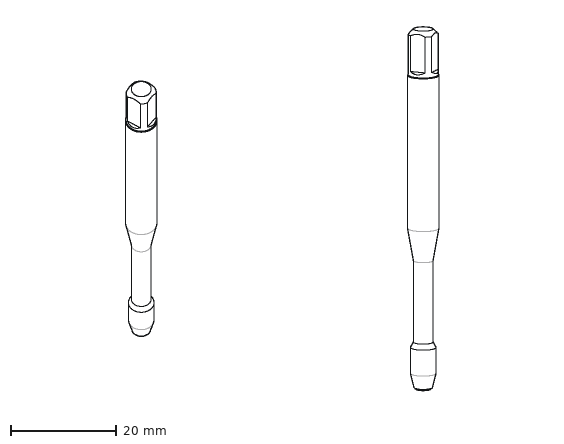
import cadquery as cq

total_length = 70.1
shank_diameter = 6.0
neck_diameter = 3.8

head_diameter = 4.9
head_tip_diameter = 3.6
head_end_diameter = 2.8
head_end_chamfer = 0.35
head_lead_top = 3.1
head_length = 9.2
head_back_length = 1.05

taper_bottom = 25.0
taper_top = 31.3
shank_top = 61.2

square_width = 4.9
square_round_diameter = 5.75
square_length = 7.9
square_top_diameter = 3.8
flat_count = 4

shank_radius = shank_diameter / 2
neck_radius = neck_diameter / 2
head_radius = head_diameter / 2
square_round_radius = square_round_diameter / 2
square_top_radius = square_top_diameter / 2
square_top_chamfer = square_round_radius - square_top_radius
shank_chamfer = shank_radius - square_round_radius


def revolve_profile(points):
    """Revolve a closed outline of (radius, height) points about Z."""
    return cq.Workplane("XZ").polyline(points).close().revolve(360, (0, 0), (0, 1))


def make_head():
    """Cutting head with a tapered lead, a chamfered end and a bevelled back."""
    return revolve_profile([
        (0, 0),
        (head_end_diameter / 2, 0),
        (head_tip_diameter / 2, head_end_chamfer),
        (head_radius, head_lead_top),
        (head_radius, head_length - head_back_length),
        (neck_radius, head_length),
        (0, head_length),
    ])


def make_flat_cutter():
    """Cutter for one flat on the -Y side, running out at 45 degrees at its lower end."""
    flat_distance = square_width / 2
    flat_bottom = total_length - square_length
    cut_depth = shank_radius - flat_distance
    return (
        cq.Workplane("YZ")
        .polyline([
            (-flat_distance, flat_bottom),
            (-flat_distance, total_length),
            (-shank_radius, total_length),
            (-shank_radius, flat_bottom - cut_depth),
        ])
        .close()
        .extrude(shank_radius, both=True)
    )


def make_shank():
    """Neck, taper, shank and driving square in one piece, resting on the head."""
    shank = revolve_profile([
        (0, head_length),
        (neck_radius, head_length),
        (neck_radius, taper_bottom),
        (shank_radius, taper_top),
        (shank_radius, shank_top - shank_chamfer),
        (square_round_radius, shank_top),
        (square_round_radius, total_length - square_top_chamfer),
        (square_top_radius, total_length),
        (0, total_length),
    ])
    cutter = make_flat_cutter()
    for index in range(flat_count):
        angle = index * 360 / flat_count
        shank = shank.cut(cutter.rotate((0, 0, 0), (0, 0, 1), angle))
    return shank


head = make_head()
shank = make_shank()

result = cq.Compound.makeCompound([head.val(), shank.val()])